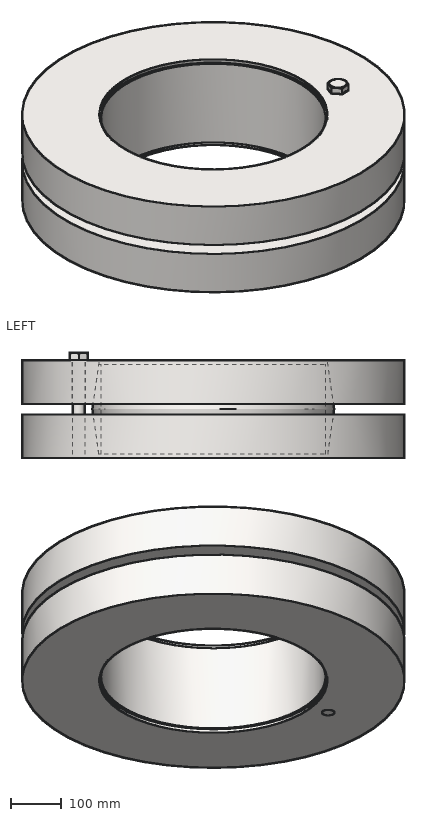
import cadquery as cq
import math


outer_diameter = 750.0
ring_thickness = 86.0
ring_gap = 20.0
ring_mouth_diameter = 447.0
stack_height = 2 * ring_thickness + ring_gap
middle_z = stack_height / 2

inner_bore_diameter = 440.0
ridge_diameter = 474.6
end_recess = 8.0

bolt_diameter = 24.0
clearance_hole_diameter = 26.0
bolt_circle_radius = 263.5
head_height = 15.0
across_flats = 36.0
head_face_diameter = 35.2
washer_face_diameter = 33.2
washer_face_height = 0.8
head_chamfer_angle = math.radians(30)


def taper_radius(height_above_middle):
    """Radius of the shared taper at a height above (or below) the middle plane."""
    ridge_radius = ridge_diameter / 2
    slope = (ridge_radius - ring_mouth_diameter / 2) / middle_z
    return ridge_radius - slope * abs(height_above_middle)


def revolve_profile(points):
    """Solid of revolution about Z from (radius, z) points."""
    return cq.Workplane("XZ").polyline(points).close().revolve(360, (0, 0, 0), (0, 1, 0))


def make_locking_ring(free_face_z, hole_diameter):
    """Ring whose bore widens from the free face to the gap, with one bolt hole."""
    side = math.copysign(1, free_face_z - middle_z)
    gap_face_z = middle_z + side * ring_gap / 2
    outer_radius = outer_diameter / 2
    ring = revolve_profile([
        (taper_radius(free_face_z - middle_z), free_face_z),
        (outer_radius, free_face_z),
        (outer_radius, gap_face_z),
        (taper_radius(gap_face_z - middle_z), gap_face_z),
    ])
    hole = (
        cq.Workplane("XY")
        .center(0, bolt_circle_radius)
        .circle(hole_diameter / 2)
        .extrude(stack_height)
    )
    return ring.cut(hole)


def make_inner_ring():
    """Straight-bored ring tapering from its mid-height ridge to both ends."""
    bore_radius = inner_bore_diameter / 2
    bottom_z = end_recess
    top_z = stack_height - end_recess
    end_radius = taper_radius(top_z - middle_z)
    return revolve_profile([
        (bore_radius, bottom_z),
        (end_radius, bottom_z),
        (ridge_diameter / 2, middle_z),
        (end_radius, top_z),
        (bore_radius, top_z),
    ])


def make_bolt():
    """Hexagon bolt: coned corners around the head's top face, a round washer face below."""
    across_corners = across_flats / math.cos(math.pi / 6)
    corner_radius = across_corners / 2
    face_radius = head_face_diameter / 2
    washer_face_radius = washer_face_diameter / 2
    chamfer_drop = (corner_radius - face_radius) * math.tan(head_chamfer_angle)
    head_envelope = revolve_profile([
        (0, 0),
        (washer_face_radius, 0),
        (washer_face_radius, washer_face_height),
        (corner_radius, washer_face_height),
        (corner_radius, head_height - chamfer_drop),
        (face_radius, head_height),
        (0, head_height),
    ])
    head = cq.Workplane("XY").polygon(6, across_corners).extrude(head_height).intersect(head_envelope)
    shank = cq.Workplane("XY").circle(bolt_diameter / 2).extrude(-stack_height)
    return head.union(shank).translate((0, bolt_circle_radius, stack_height))


upper_locking_ring = make_locking_ring(stack_height, clearance_hole_diameter)
lower_locking_ring = make_locking_ring(0.0, bolt_diameter)
inner_ring = make_inner_ring()
bolt = make_bolt()

result = cq.Compound.makeCompound([
    upper_locking_ring.val(),
    lower_locking_ring.val(),
    inner_ring.val(),
    bolt.val(),
])